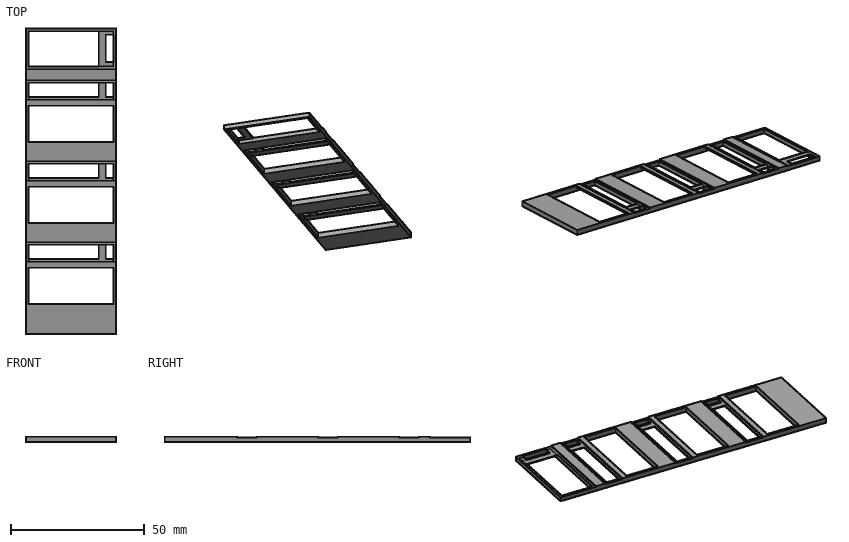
import cadquery as cq

WIDTH = 33.8
LENGTH = 114.2
THICKNESS = 2.0

BORDER = 1.0
RECESS_DEPTH = 0.3
POCKET_DEPTH = 1.4

INNER_WIDTH = WIDTH - 2 * BORDER
MAIN_WINDOW_WIDTH = 26.1
SIDE_SLOT_WIDTH = 2.9
SIDE_SLOT_LEFT = WIDTH - BORDER - SIDE_SLOT_WIDTH

END_BAND_LENGTH = 15.2
END_SLOT_START = 2.4
END_SLOT_LENGTH = 10.0

GROUP_COUNT = 3
GROUP_START = 19.3
GROUP_PITCH = 30.3
BAND_LENGTH = 7.3
WINDOW_GAP = 2.3
WIDE_WINDOW_LENGTH = 13.5


def block(left, start, width, length, bottom=0.0, top=THICKNESS):
    """Upright block between two heights; start is measured from the back end."""
    return (
        cq.Workplane("XY")
        .box(width, length, top - bottom, centered=False)
        .translate((left, -start - length, bottom))
    )


def cut_band(plate, start, length, slot_start, slot_length):
    """Recess a full-width band and pierce it with a main window and a side slot."""
    plate = plate.cut(block(0, start, WIDTH, length, THICKNESS - RECESS_DEPTH))
    window_length = length - 2 * BORDER
    plate = plate.cut(block(BORDER, start + BORDER, MAIN_WINDOW_WIDTH, window_length))
    return plate.cut(block(SIDE_SLOT_LEFT, slot_start, SIDE_SLOT_WIDTH, slot_length))


def cut_pocket(plate, start, end):
    """Hollow the underside between the two long rims."""
    return plate.cut(block(BORDER, start, INNER_WIDTH, end - start, top=POCKET_DEPTH))


plate = block(0, 0, WIDTH, LENGTH)

plate = cut_band(plate, 0, END_BAND_LENGTH, END_SLOT_START, END_SLOT_LENGTH)
plate = cut_pocket(plate, BORDER, END_BAND_LENGTH - BORDER)

for index in range(GROUP_COUNT):
    band_start = GROUP_START + index * GROUP_PITCH
    plate = cut_band(plate, band_start, BAND_LENGTH, band_start + BORDER, BAND_LENGTH - 2 * BORDER)
    window_start = band_start + BAND_LENGTH + WINDOW_GAP
    plate = plate.cut(block(BORDER, window_start, INNER_WIDTH, WIDE_WINDOW_LENGTH))
    plate = cut_pocket(plate, band_start + BORDER, window_start + WIDE_WINDOW_LENGTH)

result = plate